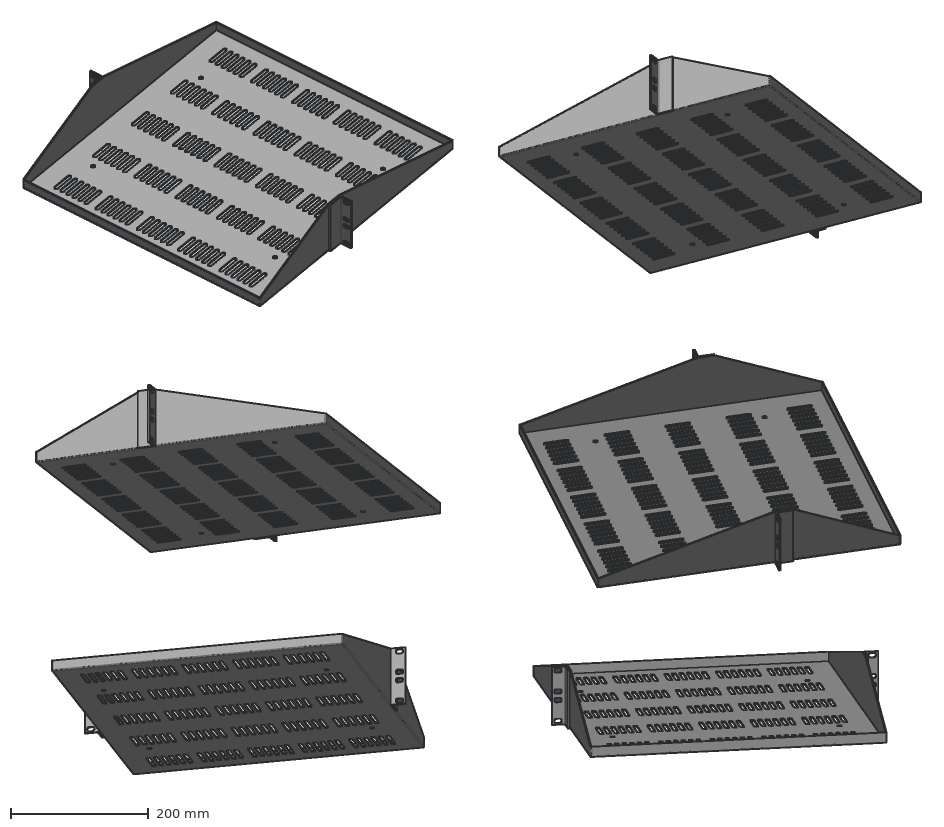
import cadquery as cq

TRAY_WIDTH = 438.5
TRAY_DEPTH = 457.0
HEIGHT = 87.5
SHEET = 2.0
BEND_RADIUS = 2.0
LIP_HEIGHT = 16.0

VENT_GROUPS = 5
VENT_GROUP_PITCH_X = 76.3
VENT_GROUP_PITCH_Y = 91.5
VENTS_PER_GROUP = 6
VENT_PITCH = 11.0
VENT_LENGTH = 37.5
VENT_WIDTH = 6.0

FIXING_DIAMETER = 6.5
FIXING_SPACING_X = 336.0
FIXING_SPACING_Y = 255.0

RACK_WIDTH = 482.5
BRACKET_SHEET = 3.0
BRACKET_BEND_RADIUS = 1.0
FLANGE_BACK_Y = -39.0
LEG_FRONT_Y = -65.5

MOUNT_SLOT_INSET = 8.5
MOUNT_SLOT_LENGTH = 11.0
MOUNT_SLOT_WIDTH = 6.8
MOUNT_OUTER_SPACING = 76.3
MOUNT_INNER_SPACING = 13.0


def make_tray_shell():
    """Open box with rounded outer folds, trimmed so its side walls peak flat over the bracket legs."""
    outer = (
        cq.Workplane("XY")
        .box(TRAY_WIDTH, TRAY_DEPTH, HEIGHT, centered=(True, True, False))
        .edges("|Z or <Z")
        .fillet(BEND_RADIUS)
    )
    cavity = (
        cq.Workplane("XY")
        .workplane(offset=SHEET)
        .box(TRAY_WIDTH - 2 * SHEET, TRAY_DEPTH - 2 * SHEET, HEIGHT, centered=(True, True, False))
    )
    gable = (
        cq.Workplane("YZ")
        .polyline([
            (-TRAY_DEPTH / 2, 0),
            (TRAY_DEPTH / 2, 0),
            (TRAY_DEPTH / 2, LIP_HEIGHT),
            (TRAY_DEPTH / 2 - SHEET, LIP_HEIGHT),
            (FLANGE_BACK_Y, HEIGHT),
            (LEG_FRONT_Y, HEIGHT),
            (SHEET - TRAY_DEPTH / 2, LIP_HEIGHT),
            (-TRAY_DEPTH / 2, LIP_HEIGHT),
        ])
        .close()
        .extrude(TRAY_WIDTH / 2, both=True)
    )
    return outer.cut(cavity).intersect(gable)


def make_vents():
    """Cutters for every ventilation slot in the floor."""
    group_middle = (VENT_GROUPS - 1) / 2
    vent_middle = (VENTS_PER_GROUP - 1) / 2
    centers = [
        ((column - group_middle) * VENT_GROUP_PITCH_X + (vent - vent_middle) * VENT_PITCH,
         (row - group_middle) * VENT_GROUP_PITCH_Y)
        for row in range(VENT_GROUPS)
        for column in range(VENT_GROUPS)
        for vent in range(VENTS_PER_GROUP)
    ]
    return cq.Workplane("XY").pushPoints(centers).slot2D(VENT_LENGTH, VENT_WIDTH, 90).extrude(SHEET)


def make_fixing_holes():
    """Cutters for the four round holes between the vent rows."""
    return (
        cq.Workplane("XY")
        .rect(FIXING_SPACING_X, FIXING_SPACING_Y, forConstruction=True)
        .vertices()
        .circle(FIXING_DIAMETER / 2)
        .extrude(SHEET)
    )


def make_tray():
    return make_tray_shell().cut(make_vents()).cut(make_fixing_holes())


def make_bracket(side):
    """Rack bracket on the left (side = -1) or the right (side = 1) of the tray."""
    wall_x = side * TRAY_WIDTH / 2
    leg_x = wall_x + side * BRACKET_SHEET
    tip_x = side * RACK_WIDTH / 2
    flange_front_y = FLANGE_BACK_Y - BRACKET_SHEET
    angle = (
        cq.Workplane("XY")
        .polyline([
            (wall_x, LEG_FRONT_Y),
            (leg_x, LEG_FRONT_Y),
            (leg_x, flange_front_y),
            (tip_x, flange_front_y),
            (tip_x, FLANGE_BACK_Y),
            (wall_x, FLANGE_BACK_Y),
        ])
        .close()
        .extrude(HEIGHT)
        .edges(cq.selectors.NearestToPointSelector((leg_x, flange_front_y, HEIGHT / 2)))
        .fillet(BRACKET_BEND_RADIUS)
    )
    slot_x = tip_x - side * MOUNT_SLOT_INSET
    slot_centers = [
        (slot_x, HEIGHT / 2 + direction * spacing / 2)
        for spacing in (MOUNT_OUTER_SPACING, MOUNT_INNER_SPACING)
        for direction in (-1, 1)
    ]
    mount_slots = (
        cq.Workplane("XZ", origin=(0, FLANGE_BACK_Y, 0))
        .pushPoints(slot_centers)
        .slot2D(MOUNT_SLOT_LENGTH, MOUNT_SLOT_WIDTH)
        .extrude(BRACKET_SHEET)
    )
    return angle.cut(mount_slots)


tray = make_tray()
brackets = [make_bracket(side) for side in (-1, 1)]

result = cq.Compound.makeCompound([tray.val(), *[bracket.val() for bracket in brackets]])